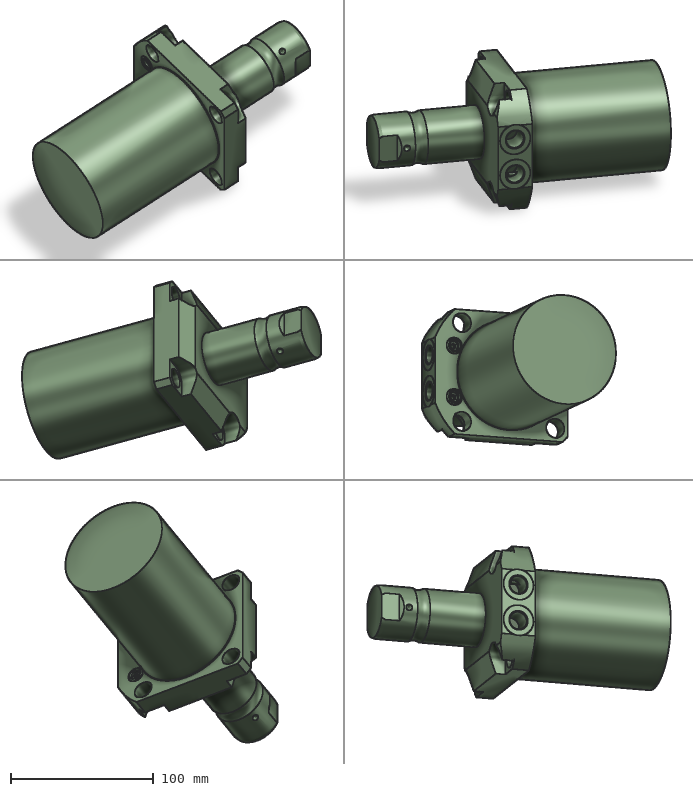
import cadquery as cq
import math

TOTAL_LENGTH = 205.5

BARREL_LENGTH = 105.0
BARREL_RADIUS = 38.8
COLLAR_RADIUS = 39.0
COLLAR_HEIGHT = 0.6

FLANGE_THICKNESS = 24.9
FLANGE_HEIGHT = 89.0
FLANGE_LEFT = 55.5
FLANGE_RIGHT = 44.5
FLANGE_ARC_RADIUS = 60.2
CORNER_CHAMFER = 4.0
BEVEL_DROP = 5.5
BEVEL_ANGLE = 20.0

BOLT_OFFSET = 35.1
BOLT_DIAMETER = 13.5
POCKET_RADIUS = 10.0
POCKET_DEPTH = 12.5

PORT_OFFSET = 13.0
PORT_DIAMETER = 12.5
PORT_DEPTH = 18.5
PORT_CHAMFER = 0.6
SEAT_DIAMETER = 22.0
SEAT_DEPTH = 0.2

ROD_DIAMETER = 38.0
TIP_CHAMFER_LENGTH = 2.7
TIP_CHAMFER_DEPTH = 0.6
FLAT_HALF_WIDTH = 16.5
FLAT_LENGTH = 13.1
GROOVE_START = 25.7
GROOVE_WIDTH = 9.2
GROOVE_DEPTH = 1.2
PIN_HOLE_FROM_TIP = 19.5
PIN_HOLE_DIAMETER = 4.5
PIN_HOLE_COUNT = 3
FIRST_PIN_HOLE_ANGLE = 180.0
PIN_HOLE_DEPTH = 2.0

SCREW_X = -41.0
SCREW_Z = 18.3
SCREW_HEAD_RADIUS = 5.8
SCREW_HEAD_DEPTH = 5.3
SCREW_PROTRUSION = 1.2
SCREW_RIM_RADIUS = 4.5
SCREW_RIM_DROP = 0.8
SCREW_STEM_RADIUS = 1.5
SCREW_LENGTH = 13.8
RECESS_RADIUS = 3.5
RECESS_CONE_DEPTH = 1.0
RECESS_DEPTH = 3.0
HEX_KEY_WIDTH = 3.5
HEX_SOCKET_DEPTH = 2.0
DRILL_POINT_RADIUS = 1.5
DRILL_POINT_DEPTH = 0.8

ROD_RADIUS = ROD_DIAMETER / 2
FLANGE_FRONT = 0.0
FLANGE_BACK = FLANGE_FRONT + FLANGE_THICKNESS
FLANGE_MIDDLE = FLANGE_FRONT + FLANGE_THICKNESS / 2
BARREL_END = FLANGE_FRONT - BARREL_LENGTH
ROD_TIP = BARREL_END + TOTAL_LENGTH
HALF_HEIGHT = FLANGE_HEIGHT / 2
BEVEL_RUN = BEVEL_DROP / math.tan(math.radians(BEVEL_ANGLE))


def xz_plane(y):
    """Sketch plane at height y whose local axes are X and Z; extrusion runs toward -Y."""
    return cq.Workplane("XZ", origin=(0, y, 0))


def revolve_about_y(profile):
    """Turn a closed (radius, y) outline about the Y axis."""
    return profile.close().revolve(360, (0, 0, 0), (0, 1, 0))


def make_flange_plate():
    arc_start_z = math.sqrt(FLANGE_ARC_RADIUS**2 - FLANGE_LEFT**2)
    arc_end_x = -math.sqrt(FLANGE_ARC_RADIUS**2 - HALF_HEIGHT**2)
    middle_angle = (math.atan2(arc_start_z, -FLANGE_LEFT) + math.atan2(HALF_HEIGHT, arc_end_x)) / 2
    middle_x = FLANGE_ARC_RADIUS * math.cos(middle_angle)
    middle_z = FLANGE_ARC_RADIUS * math.sin(middle_angle)
    chamfer_x = FLANGE_RIGHT - CORNER_CHAMFER
    chamfer_z = HALF_HEIGHT - CORNER_CHAMFER
    return (
        xz_plane(FLANGE_BACK)
        .moveTo(-FLANGE_LEFT, -arc_start_z)
        .lineTo(-FLANGE_LEFT, arc_start_z)
        .threePointArc((middle_x, middle_z), (arc_end_x, HALF_HEIGHT))
        .lineTo(chamfer_x, HALF_HEIGHT)
        .lineTo(FLANGE_RIGHT, chamfer_z)
        .lineTo(FLANGE_RIGHT, -chamfer_z)
        .lineTo(chamfer_x, -HALF_HEIGHT)
        .lineTo(arc_end_x, -HALF_HEIGHT)
        .threePointArc((middle_x, -middle_z), (-FLANGE_LEFT, -arc_start_z))
        .close()
        .extrude(FLANGE_THICKNESS)
    )


def bevel_cutter(plane, edge):
    """Triangular prism that slopes the back of the flange down toward one edge."""
    return (
        cq.Workplane(plane)
        .moveTo(edge, FLANGE_BACK - BEVEL_DROP)
        .lineTo(edge, FLANGE_BACK)
        .lineTo(edge - math.copysign(BEVEL_RUN, edge), FLANGE_BACK)
        .close()
        .extrude(FLANGE_HEIGHT, both=True)
    )


def pocket_cutter(side_z, open_sideways):
    """Pocket around one mounting hole, open to the nearest Z edge and optionally to +X."""
    center_x = BOLT_OFFSET if open_sideways else -BOLT_OFFSET
    center_z = side_z * BOLT_OFFSET
    reach = FLANGE_HEIGHT
    plane = xz_plane(FLANGE_BACK)
    cutter = plane.center(center_x, center_z).circle(POCKET_RADIUS).extrude(POCKET_DEPTH)
    slot = (
        plane.center(center_x, center_z + side_z * reach / 2)
        .rect(2 * POCKET_RADIUS, reach)
        .extrude(POCKET_DEPTH)
    )
    cutter = cutter.union(slot)
    if open_sideways:
        corner = (
            plane.center(center_x + reach / 2, center_z + side_z * (reach - POCKET_RADIUS) / 2)
            .rect(reach, reach + POCKET_RADIUS)
            .extrude(POCKET_DEPTH)
        )
        cutter = cutter.union(corner)
    return cutter


def make_flange():
    flange = make_flange_plate()
    flange = flange.cut(bevel_cutter("XY", FLANGE_RIGHT))
    bolt_points = []
    for side_z in (-1, 1):
        flange = flange.cut(bevel_cutter("ZY", side_z * HALF_HEIGHT))
        for open_sideways in (False, True):
            flange = flange.cut(pocket_cutter(side_z, open_sideways))
        bolt_points += [(-BOLT_OFFSET, side_z * BOLT_OFFSET), (BOLT_OFFSET, side_z * BOLT_OFFSET)]
    bolt_holes = (
        xz_plane(FLANGE_BACK).pushPoints(bolt_points).circle(BOLT_DIAMETER / 2).extrude(FLANGE_THICKNESS)
    )
    return flange.cut(bolt_holes)


def make_barrel():
    return revolve_about_y(
        cq.Workplane("XY")
        .moveTo(0, FLANGE_FRONT)
        .lineTo(COLLAR_RADIUS, FLANGE_FRONT)
        .lineTo(COLLAR_RADIUS, FLANGE_FRONT - COLLAR_HEIGHT)
        .lineTo(BARREL_RADIUS, FLANGE_FRONT - COLLAR_HEIGHT)
        .lineTo(BARREL_RADIUS, BARREL_END)
        .lineTo(0, BARREL_END)
    )


def make_rod():
    groove_top = ROD_TIP - GROOVE_START
    groove_bottom = groove_top - GROOVE_WIDTH
    rod = revolve_about_y(
        cq.Workplane("XY")
        .moveTo(0, FLANGE_BACK)
        .lineTo(ROD_RADIUS, FLANGE_BACK)
        .lineTo(ROD_RADIUS, groove_bottom)
        .threePointArc(
            (ROD_RADIUS - GROOVE_DEPTH, groove_bottom + GROOVE_WIDTH / 2),
            (ROD_RADIUS, groove_top),
        )
        .lineTo(ROD_RADIUS, ROD_TIP - TIP_CHAMFER_LENGTH)
        .lineTo(ROD_RADIUS - TIP_CHAMFER_DEPTH, ROD_TIP)
        .lineTo(0, ROD_TIP)
    )
    for side in (-1, 1):
        rod = rod.cut(rod_flat_cutter(side))
    for index in range(PIN_HOLE_COUNT):
        rod = rod.cut(pin_hole_cutter(FIRST_PIN_HOLE_ANGLE + index * 360 / PIN_HOLE_COUNT))
    return rod


def rod_flat_cutter(side):
    """Wrench flat at the rod tip that ends in a 45 degree shoulder."""
    flat_end = ROD_TIP - FLAT_LENGTH
    run_out = 2 * (ROD_RADIUS - FLAT_HALF_WIDTH)
    return (
        cq.Workplane("XY")
        .moveTo(side * FLAT_HALF_WIDTH, ROD_TIP)
        .lineTo(side * FLAT_HALF_WIDTH, flat_end)
        .lineTo(side * (FLAT_HALF_WIDTH + run_out), flat_end - run_out)
        .lineTo(side * (FLAT_HALF_WIDTH + run_out), ROD_TIP)
        .close()
        .extrude(ROD_RADIUS, both=True)
    )


def pin_hole_cutter(angle):
    """Conical dimple pointing at the rod axis, at an angle from +X toward +Z."""
    cone = cq.Solid.makeCone(
        0,
        PIN_HOLE_DIAMETER / 2,
        PIN_HOLE_DEPTH,
        cq.Vector(ROD_RADIUS - PIN_HOLE_DEPTH, ROD_TIP - PIN_HOLE_FROM_TIP, 0),
        cq.Vector(1, 0, 0),
    )
    return cq.Workplane(cone).rotate((0, 0, 0), (0, 1, 0), -angle)


def port_cutter(side_z):
    """Blind port with a shallow sealing seat on the -X face."""
    face = cq.Workplane("YZ", origin=(-FLANGE_LEFT, FLANGE_MIDDLE, side_z * PORT_OFFSET))
    mouth_radius = PORT_DIAMETER / 2 + PORT_CHAMFER
    mouth_floor = SEAT_DEPTH + PORT_CHAMFER
    seat = face.circle(SEAT_DIAMETER / 2).extrude(SEAT_DEPTH)
    mouth = face.workplane(offset=SEAT_DEPTH).circle(mouth_radius).workplane(offset=PORT_CHAMFER)
    mouth = mouth.circle(PORT_DIAMETER / 2).loft()
    bore = face.workplane(offset=mouth_floor).circle(PORT_DIAMETER / 2).extrude(PORT_DEPTH - mouth_floor)
    return seat.union(mouth).union(bore)


def make_screw_blank():
    """Solid throttle screw on the Y axis, without its socket."""
    head_end = FLANGE_FRONT - SCREW_PROTRUSION
    return revolve_about_y(
        cq.Workplane("XY")
        .moveTo(0, head_end)
        .lineTo(SCREW_RIM_RADIUS, head_end)
        .lineTo(SCREW_HEAD_RADIUS, head_end + SCREW_RIM_DROP)
        .lineTo(SCREW_HEAD_RADIUS, FLANGE_FRONT + SCREW_HEAD_DEPTH)
        .lineTo(SCREW_STEM_RADIUS, FLANGE_FRONT + SCREW_HEAD_DEPTH)
        .lineTo(SCREW_STEM_RADIUS, FLANGE_FRONT + SCREW_LENGTH)
        .lineTo(0, FLANGE_FRONT + SCREW_LENGTH)
    )


def make_screw():
    """Throttle screw with a flared recess and a hexagon socket that ends in a drill point."""
    head_end = FLANGE_FRONT - SCREW_PROTRUSION
    recess_floor = head_end + RECESS_DEPTH
    recess = revolve_about_y(
        cq.Workplane("XY")
        .moveTo(0, head_end)
        .lineTo(SCREW_RIM_RADIUS, head_end)
        .lineTo(RECESS_RADIUS, head_end + RECESS_CONE_DEPTH)
        .lineTo(RECESS_RADIUS, recess_floor)
        .lineTo(0, recess_floor)
    )
    hex_floor = recess_floor + HEX_SOCKET_DEPTH
    hex_socket = (
        xz_plane(hex_floor)
        .polygon(6, HEX_KEY_WIDTH, circumscribed=True)
        .extrude(HEX_SOCKET_DEPTH)
    )
    drill_point = revolve_about_y(
        cq.Workplane("XY")
        .moveTo(0, hex_floor)
        .lineTo(DRILL_POINT_RADIUS, hex_floor)
        .lineTo(0, hex_floor + DRILL_POINT_DEPTH)
    )
    return make_screw_blank().cut(recess).cut(hex_socket).cut(drill_point)


housing = make_flange().union(make_barrel()).union(make_rod())
screws = []
for side in (-1, 1):
    place = (SCREW_X, 0, side * SCREW_Z)
    housing = housing.cut(port_cutter(side))
    housing = housing.cut(make_screw_blank().translate(place))
    screws.append(make_screw().translate(place))

result = cq.Compound.makeCompound([housing.val()] + [screw.val() for screw in screws])